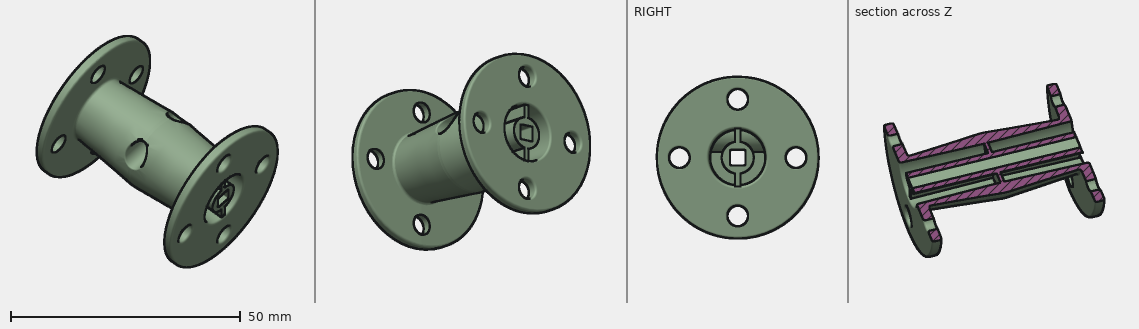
import cadquery as cq
import math

LENGTH = 39.5
FLANGE_RADIUS = 35.31 / 2
FACE_X = LENGTH / 2

FLANGE_RIDGE_THICKNESS = 2.55
FLANGE_DRAFT_ANGLE = 1.0
FLANGE_RIM_THICKNESS = FLANGE_RIDGE_THICKNESS - FLANGE_RADIUS * math.tan(math.radians(FLANGE_DRAFT_ANGLE))
RIM_FILLET = 0.5
RIDGE_X = FACE_X - FLANGE_RIDGE_THICKNESS

BAND_WIDTH = 0.85
BAND_RADIUS = 9.1
NECK_RADIUS = 7.7
NECK_FILLET = 0.5
BARREL_OVERLAP = 1.0
COLLAR_RADIUS = 9.0
NECK_SELECT_MARGIN = 0.1
TAPER_SLOPE = (BAND_RADIUS - NECK_RADIUS) / (RIDGE_X - BAND_WIDTH / 2)
BARREL_END_RADIUS = NECK_RADIUS - BARREL_OVERLAP * TAPER_SLOPE

MOUTH_FILLET = 0.5

WEB_THICKNESS = 1.0
BORE_FLOOR_RADIUS = 6.0
BORE_DRAFT_ANGLE = 1.0
BORE_DEPTH = FACE_X - WEB_THICKNESS / 2
BORE_START_RADIUS = BORE_FLOOR_RADIUS + (BORE_DEPTH - MOUTH_FILLET) * math.tan(math.radians(BORE_DRAFT_ANGLE))

HUB_RADIUS = 3.5
HUB_SETBACK = 0.5
RIB_THICKNESS = 1.1
HUB_LENGTH = LENGTH - 2 * HUB_SETBACK

SQUARE_SIZE = 3.35
SQUARE_CORNER_RADIUS = 0.3

FLANGE_HOLE_DIAMETER = 4.45
FLANGE_HOLE_CIRCLE_RADIUS = 12.7
FLANGE_HOLE_COUNT = 4

CROSS_HOLE_DIAMETER = 4.9
CROSS_HOLE_Z = 5.1
CROSS_HOLE_FILLET = 0.3
TUBE_WALL = 1.5


def cylinder_x(radius, length):
    """Cylinder on the X axis, centred on the origin."""
    return cq.Workplane("YZ").circle(radius).extrude(length / 2, both=True)


def cylinder_y(radius, length):
    """Cylinder along Y on the axis of the cross hole."""
    return cq.Workplane("XZ").center(0, CROSS_HOLE_Z).circle(radius).extrude(length / 2, both=True)


def both_ends(left):
    """A feature of the -X end together with its mirror image."""
    return left.union(left.mirror("YZ"))


def make_drafted_disc(radius):
    """Left flange disc: flat outer face, inner face sloping away from the ridge."""
    profile = [
        (-FACE_X, -FLANGE_RADIUS),
        (-FACE_X + FLANGE_RIM_THICKNESS, -FLANGE_RADIUS),
        (-RIDGE_X, 0),
        (-FACE_X + FLANGE_RIM_THICKNESS, FLANGE_RADIUS),
        (-FACE_X, FLANGE_RADIUS),
    ]
    wedge = cq.Workplane("XY").polyline(profile).close().extrude(FLANGE_RADIUS, both=True)
    return cylinder_x(radius, LENGTH).intersect(wedge)


def make_left_flange():
    disc = make_drafted_disc(FLANGE_RADIUS)
    outer_edge = disc.faces("<X").edges()
    inner_edges = disc.edges("%ELLIPSE")
    return disc.newObject(outer_edge.vals() + inner_edges.vals()).fillet(RIM_FILLET)


def make_barrel_quarter():
    """The X < 0, Y > 0 quarter of the solid barrel, running on inside the flange."""
    end_x = -RIDGE_X - BARREL_OVERLAP
    profile = [
        (0, 0),
        (end_x, 0),
        (end_x, BARREL_END_RADIUS),
        (-BAND_WIDTH / 2, BAND_RADIUS),
        (0, BAND_RADIUS),
    ]
    outline = cq.Workplane("XZ").polyline(profile).close()
    return outline.revolve(180, (0, 0, 0), (-1, 0, 0))


def make_neck_quarter(barrel_quarter):
    """A barrel quarter joined to the middle of the flange by the rounded neck."""
    positive_y_half = cq.Workplane("XY").box(
        LENGTH, FLANGE_RADIUS, 2 * FLANGE_RADIUS, centered=(True, False, True)
    )
    flange_middle = make_drafted_disc(COLLAR_RADIUS).intersect(positive_y_half)
    neck = barrel_quarter.union(flange_middle)
    start = (-RIDGE_X - BARREL_OVERLAP, -COLLAR_RADIUS, -NECK_RADIUS - NECK_SELECT_MARGIN)
    end = (-RIDGE_X + BARREL_OVERLAP, COLLAR_RADIUS, NECK_RADIUS + NECK_SELECT_MARGIN)
    neck_box = cq.selectors.BoxSelector(start, end, boundingbox=True)
    return neck.edges(neck_box).edges("not %LINE").fillet(NECK_FILLET)


def make_spool():
    """Solid barrel with both flanges; the necks are rounded a quarter at a time."""
    barrel_quarter = make_barrel_quarter()
    neck_quarter = make_neck_quarter(barrel_quarter)
    half_spool = make_left_flange().union(barrel_quarter.union(barrel_quarter.mirror("XZ")))
    half_spool = half_spool.union(neck_quarter).union(neck_quarter.mirror("XZ"))
    return both_ends(half_spool)


def left_hole(start_radius, end_radius, depth):
    """Round hole with a rounded mouth, sunk along X into the -X face, as a solid to cut away."""
    profile = (
        cq.Workplane("XY")
        .moveTo(-FACE_X, 0)
        .lineTo(-FACE_X, start_radius + MOUTH_FILLET)
        .radiusArc((-FACE_X + MOUTH_FILLET, start_radius), -MOUTH_FILLET)
        .lineTo(-FACE_X + depth, end_radius)
        .lineTo(-FACE_X + depth, 0)
        .close()
    )
    return profile.revolve(360, (0, 0, 0), (1, 0, 0))


def make_core():
    """Hub, ribs and cross-hole tube that stay standing inside the bores."""
    hub = cylinder_x(HUB_RADIUS, HUB_LENGTH)
    ribs = cq.Workplane("XY").box(HUB_LENGTH, RIB_THICKNESS, 2 * BAND_RADIUS)
    tube = cylinder_y(CROSS_HOLE_DIAMETER / 2 + TUBE_WALL, 2 * BAND_RADIUS)
    return hub.union(ribs).union(tube)


def hollow_out(spool):
    bore = left_hole(BORE_START_RADIUS, BORE_FLOOR_RADIUS, BORE_DEPTH)
    return spool.cut(both_ends(bore.cut(make_core())))


def cut_square_hole(spool):
    square = cq.Workplane("YZ").rect(SQUARE_SIZE, SQUARE_SIZE).extrude(FACE_X, both=True)
    return spool.cut(square.edges("|X").fillet(SQUARE_CORNER_RADIUS))


def cut_flange_holes(spool):
    """Ring of holes in each flange, rounded where they meet the outer faces."""
    radius = FLANGE_HOLE_DIAMETER / 2
    hole = left_hole(radius, radius, FLANGE_RIDGE_THICKNESS)
    hole = hole.translate((0, FLANGE_HOLE_CIRCLE_RADIUS, 0))
    for index in range(FLANGE_HOLE_COUNT):
        angle = index * 360 / FLANGE_HOLE_COUNT
        turned_hole = hole.rotate((0, 0, 0), (1, 0, 0), angle)
        spool = spool.cut(both_ends(turned_hole))
    return spool


def cut_cross_hole(spool):
    """Hole through the tube along Y, rounded where it meets the barrel surface."""
    radius = CROSS_HOLE_DIAMETER / 2
    drilled = spool.cut(cylinder_y(radius, 2 * BAND_RADIUS))
    mouth_edges = []
    for side in (-1, 1):
        start = (-radius, side * FLANGE_RADIUS, CROSS_HOLE_Z - radius - CROSS_HOLE_FILLET)
        end = (radius, side * radius, CROSS_HOLE_Z + radius + CROSS_HOLE_FILLET)
        mouth_edges += drilled.edges(cq.selectors.BoxSelector(start, end)).vals()
    return drilled.newObject(mouth_edges).fillet(CROSS_HOLE_FILLET)


spool = make_spool()
spool = hollow_out(spool)
spool = cut_square_hole(spool)
spool = cut_flange_holes(spool)
result = cut_cross_hole(spool)